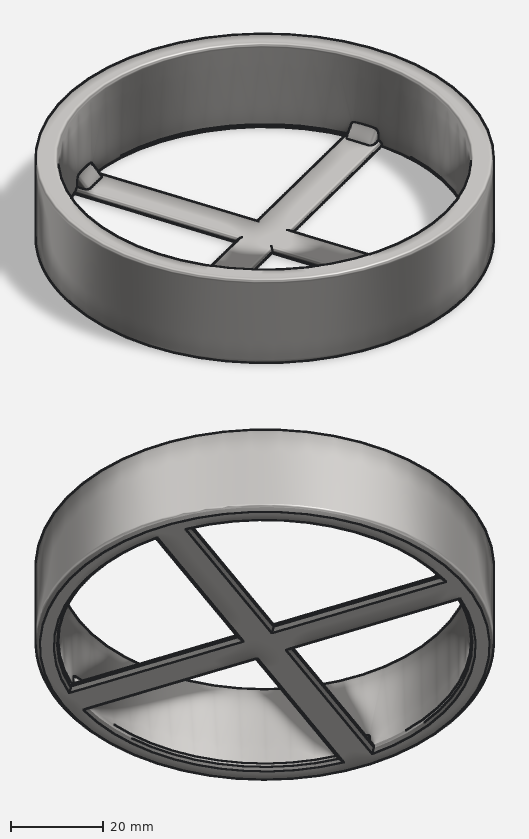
import cadquery as cq

outer_diameter = 99.5
inner_diameter = 89.5
height = 22.0
rim_fillet = 1.0
base_chamfer = 1.0
base_blend = 1.0

spoke_width = 8.7
spoke_thickness = 2.0
spoke_fillet = 0.9
spoke_chamfer = 0.9

ramp_run = 2.9
ramp_rise = 2.9
ramp_fillet = 0.9

outer_radius = outer_diameter / 2
inner_radius = inner_diameter / 2
wall = outer_radius - inner_radius
ramp_width = spoke_width - 2 * spoke_fillet
wall_middle = inner_radius + wall / 2


def make_ring():
    """Make the tube with a rounded rim and a chamfered base blended into both sides."""
    ring = cq.Workplane("XY").circle(outer_radius).circle(inner_radius).extrude(height)
    ring = ring.faces("<Z").chamfer(base_chamfer)
    chamfer_top = cq.selectors.BoxSelector(
        (-outer_diameter, -outer_diameter, base_chamfer / 2),
        (outer_diameter, outer_diameter, base_chamfer * 2),
    )
    ring = ring.edges("%CIRCLE").edges(chamfer_top).fillet(base_blend)
    return ring.faces(">Z").edges().fillet(rim_fillet)


def make_cross():
    """Make the two crossing spokes with rounded top edges and chamfered bottom edges."""
    length = 2 * wall_middle
    cross = cq.Workplane("XY").rect(length, spoke_width).extrude(spoke_thickness)
    cross = cross.union(cq.Workplane("XY").rect(spoke_width, length).extrude(spoke_thickness))
    cross = cross.faces("<Z").chamfer(spoke_chamfer)
    return cross.faces(">Z").edges().fillet(spoke_fillet)


def make_ramp(angle):
    """Make one ramp with rounded sloping edges, turned about the ring axis."""
    start = inner_radius - ramp_run
    slope_top = spoke_thickness + ramp_rise
    ramp = (
        cq.Workplane("XZ")
        .moveTo(start, spoke_chamfer)
        .lineTo(start, spoke_thickness)
        .lineTo(inner_radius, slope_top)
        .lineTo(wall_middle, slope_top)
        .lineTo(wall_middle, spoke_chamfer)
        .close()
        .extrude(ramp_width / 2, both=True)
    )
    slope = cq.Vector(ramp_run, 0, ramp_rise)
    ramp = ramp.edges(cq.selectors.ParallelDirSelector(slope)).fillet(ramp_fillet)
    return ramp.rotate((0, 0, 0), (0, 0, 1), angle)


result = make_ring().union(make_cross())
for quarter_turn in range(4):
    result = result.union(make_ramp(90 * quarter_turn))